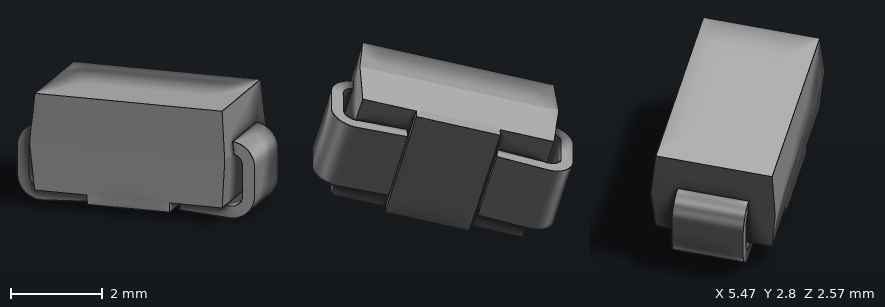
import cadquery as cq
import math

overall_length = 5.47
body_length = 4.5
body_width = 2.8
body_height = 2.2
body_bottom = 0.37
draft_angle = 4.7
half_height = body_height / 2
parting_z = body_bottom + half_height
draft_inset = half_height * math.tan(math.radians(draft_angle))

pad_length = 1.9
pad_height = 0.215
pad_width = body_width - 2 * draft_inset

lead_width = 1.6
lead_thickness = 0.275
bend_radius = 0.55
inner_radius = bend_radius - lead_thickness
lead_top = 1.745
lead_embed = 0.3
foot_angle = math.radians(3.7)
foot_length = 1.145


def make_body_half(direction):
    """Half of the body, tapering away from the parting plane (+1 up, -1 down)."""
    return (
        cq.Workplane("XY", origin=(0, 0, parting_z))
        .rect(body_length, body_width)
        .extrude(direction * half_height, taper=draft_angle)
    )


def make_pad():
    return (
        cq.Workplane("XY", origin=(0, 0, body_bottom))
        .rect(pad_length, pad_width)
        .extrude(-pad_height)
    )


def make_left_lead():
    """Strip that leaves the body, bends down and folds back under it with a rising foot."""
    bend_x = -overall_length / 2 + bend_radius
    upper_z = lead_top - bend_radius
    lower_z = bend_radius
    root_x = -body_length / 2 + lead_embed

    def on_bend(center_z, radius, angle):
        return (bend_x + radius * math.cos(angle), center_z + radius * math.sin(angle))

    def foot_tip(radius):
        x, z = on_bend(lower_z, radius, foot_start)
        return (x + foot_length * math.cos(foot_angle), z + foot_length * math.sin(foot_angle))

    foot_start = -math.pi / 2 + foot_angle
    upper_mid = 3 * math.pi / 4
    lower_mid = (foot_start - math.pi) / 2

    return (
        cq.Workplane("XZ")
        .moveTo(root_x, lead_top)
        .lineTo(bend_x, lead_top)
        .threePointArc(
            on_bend(upper_z, bend_radius, upper_mid),
            on_bend(upper_z, bend_radius, math.pi),
        )
        .lineTo(*on_bend(lower_z, bend_radius, math.pi))
        .threePointArc(
            on_bend(lower_z, bend_radius, lower_mid),
            on_bend(lower_z, bend_radius, foot_start),
        )
        .lineTo(*foot_tip(bend_radius))
        .lineTo(*foot_tip(inner_radius))
        .lineTo(*on_bend(lower_z, inner_radius, foot_start))
        .threePointArc(
            on_bend(lower_z, inner_radius, lower_mid),
            on_bend(lower_z, inner_radius, math.pi),
        )
        .lineTo(*on_bend(upper_z, inner_radius, math.pi))
        .threePointArc(
            on_bend(upper_z, inner_radius, upper_mid),
            on_bend(upper_z, inner_radius, math.pi / 2),
        )
        .lineTo(root_x, lead_top - lead_thickness)
        .close()
        .extrude(lead_width / 2, both=True)
    )


left_lead = make_left_lead()
right_lead = left_lead.mirror("YZ")

result = (
    make_body_half(1)
    .union(make_body_half(-1))
    .union(make_pad())
    .union(left_lead)
    .union(right_lead)
)